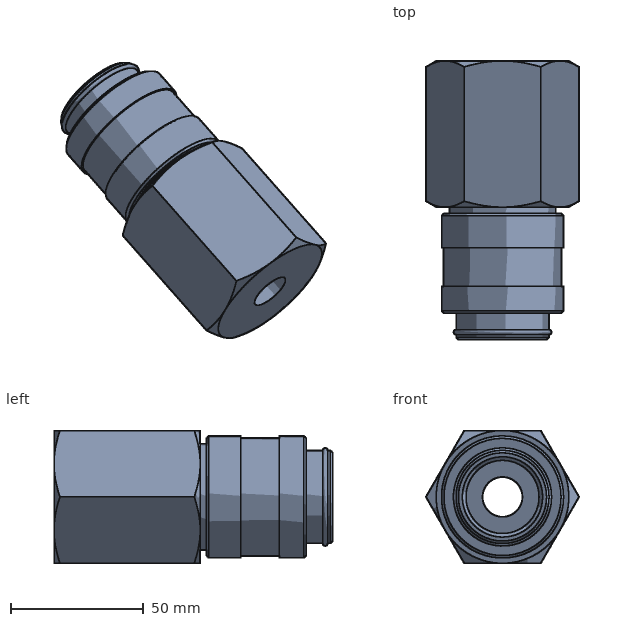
import cadquery as cq
import math

length = 105.0

hex_flats = 50.0
hex_corners = hex_flats / math.cos(math.radians(30))
hex_start = 50.0
hex_chamfer_angle = 30.0

edge_chamfer = 0.9
nose_radius = 17.5
bead_radius = 0.9
bead_center = 2.9
sleeve_radius = 23.0
sleeve_start = 10.0
sleeve_end = 47.7
waist_radius = 22.3
waist_start = 20.2
waist_end = 34.6
neck_radius = 20.1

bore_radius = 13.8
bore_depth = hex_start
mouth_chamfer = 1.4
through_radius = 7.5


def turn(profile):
    """Revolve a closed (radius, Y) profile about the Y axis."""
    return profile.close().revolve(360, (0, 0, 0), (0, 1, 0))


def hex_body():
    """Hexagon with corners on the X axis, its two ends turned to a cone."""
    body_length = length - hex_start
    prism = (
        cq.Workplane("XZ", origin=(0, length, 0))
        .polygon(6, hex_corners)
        .extrude(body_length)
    )
    end_radius = hex_flats / 2
    outer_radius = hex_corners / 2 + 1.0
    cone_depth = (outer_radius - end_radius) * math.tan(math.radians(hex_chamfer_angle))
    envelope = turn(
        cq.Workplane("XY")
        .moveTo(0, hex_start)
        .lineTo(end_radius, hex_start)
        .lineTo(outer_radius, hex_start + cone_depth)
        .lineTo(outer_radius, length - cone_depth)
        .lineTo(end_radius, length)
        .lineTo(0, length)
    )
    return prism.intersect(envelope)


def coupling():
    """Nose with a rounded bead, waisted sleeve, and neck running into the hexagon."""
    return turn(
        cq.Workplane("XY")
        .lineTo(nose_radius - edge_chamfer, 0)
        .lineTo(nose_radius, edge_chamfer)
        .lineTo(nose_radius, bead_center - bead_radius)
        .threePointArc(
            (nose_radius + bead_radius, bead_center),
            (nose_radius, bead_center + bead_radius),
        )
        .lineTo(nose_radius, sleeve_start)
        .lineTo(sleeve_radius - edge_chamfer, sleeve_start)
        .lineTo(sleeve_radius, sleeve_start + edge_chamfer)
        .lineTo(sleeve_radius, waist_start)
        .lineTo(waist_radius, waist_start)
        .lineTo(waist_radius, waist_end)
        .lineTo(sleeve_radius, waist_end)
        .lineTo(sleeve_radius, sleeve_end - edge_chamfer)
        .lineTo(sleeve_radius - edge_chamfer, sleeve_end)
        .lineTo(neck_radius, sleeve_end)
        .lineTo(neck_radius, hex_start)
        .lineTo(0, hex_start)
    )


def bore():
    """Chamfered front bore, stepping down to a hole through the whole length."""
    return turn(
        cq.Workplane("XY")
        .lineTo(bore_radius + mouth_chamfer, 0)
        .lineTo(bore_radius, mouth_chamfer)
        .lineTo(bore_radius, bore_depth)
        .lineTo(through_radius, bore_depth)
        .lineTo(through_radius, length)
        .lineTo(0, length)
    )


result = hex_body().union(coupling()).cut(bore())